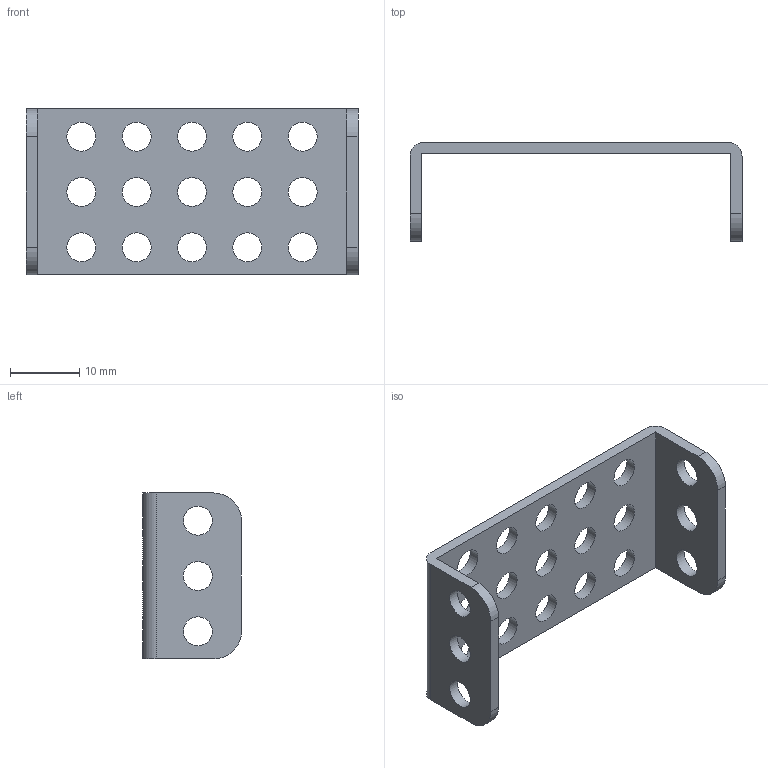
import cadquery as cq

length = 48.0
depth = 14.3
height = 24.0
thickness = 1.6
bend_radius = 2.0
corner_radius = 4.0

pitch = 8.0
hole_diameter = 4.2
web_columns = 5
hole_rows = 3
flange_hole_from_back = 8.0

mid_flange_y = -depth / 2


def make_channel():
    """U-shaped channel with rounded outer bends and sharp inner corners."""
    block = cq.Workplane("XY").box(length, depth, height).translate((0, mid_flange_y, 0))
    block = block.edges("|Z and >Y").fillet(bend_radius)
    cavity = (
        cq.Workplane("XY")
        .box(length - 2 * thickness, depth, height)
        .translate((0, mid_flange_y - thickness, 0))
    )
    return block.cut(cavity)


def round_flange_corners(channel):
    """Round the upper and lower free corners of both flanges."""
    return channel.faces("<Y").edges("|X").fillet(corner_radius)


def make_web_holes():
    """Cylinders along Y for the grid of holes through the web."""
    return (
        cq.Workplane("XZ")
        .rarray(pitch, pitch, web_columns, hole_rows)
        .circle(hole_diameter / 2)
        .extrude(thickness)
    )


def make_flange_holes():
    """Cylinders along X for the column of holes through both flanges."""
    return (
        cq.Workplane("YZ")
        .center(-flange_hole_from_back, 0)
        .rarray(pitch, pitch, 1, hole_rows)
        .circle(hole_diameter / 2)
        .extrude(length / 2, both=True)
    )


channel = round_flange_corners(make_channel())
result = channel.cut(make_web_holes()).cut(make_flange_holes())